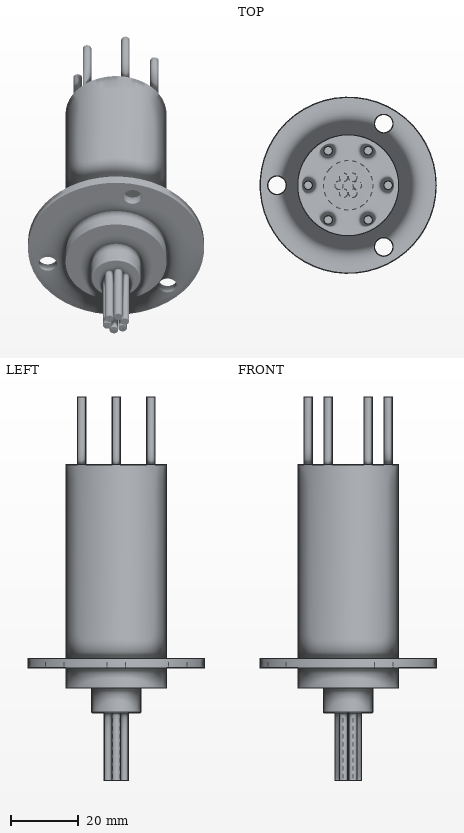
import cadquery as cq

flange_diameter = 52.0
body_diameter = 29.8
boss_diameter = 14.6
wire_diameter = 2.5

lower_wire_length = 20.0
boss_height = 7.3
body_below_flange = 6.0
flange_thickness = 2.8
body_above_flange = 57.2
upper_wire_length = 20.0

boss_edge_fillet = 0.4

mounting_hole_count = 3
mounting_hole_diameter = 5.4
mounting_circle_radius = 21.0
first_hole_angle = 180.0

wire_count = 6
upper_wire_circle_radius = 11.8
lower_wire_circle_radius = 2.7

flange_top = flange_thickness
body_bottom = -body_below_flange
body_top = flange_top + body_above_flange
boss_bottom = body_bottom - boss_height
lower_wire_bottom = boss_bottom - lower_wire_length


def cylinder(diameter, bottom, height):
    """Vertical cylinder centred on the Z axis."""
    return cq.Workplane("XY").workplane(offset=bottom).circle(diameter / 2).extrude(height)


def cylinder_ring(diameter, bottom, height, circle_radius, count, start_angle=0.0):
    """Vertical cylinders evenly spaced on a circle around the Z axis."""
    return (
        cq.Workplane("XY")
        .workplane(offset=bottom)
        .polarArray(circle_radius, start_angle, 360.0, count)
        .circle(diameter / 2)
        .extrude(height)
    )


def make_flange():
    """Round mounting flange with its through holes."""
    holes = cylinder_ring(
        mounting_hole_diameter,
        0.0,
        flange_thickness,
        mounting_circle_radius,
        mounting_hole_count,
        first_hole_angle,
    )
    return cylinder(flange_diameter, 0.0, flange_thickness).cut(holes)


def make_boss():
    """Wire outlet below the body, with a rounded bottom edge."""
    boss = cylinder(boss_diameter, boss_bottom, boss_height)
    return boss.faces("<Z").edges().fillet(boss_edge_fillet)


body = cylinder(body_diameter, body_bottom, body_top - body_bottom)
upper_wires = cylinder_ring(
    wire_diameter, body_top, upper_wire_length, upper_wire_circle_radius, wire_count
)
lower_wires = cylinder_ring(
    wire_diameter, lower_wire_bottom, lower_wire_length, lower_wire_circle_radius, wire_count
)

result = body.union(make_flange()).union(make_boss()).union(upper_wires).union(lower_wires)